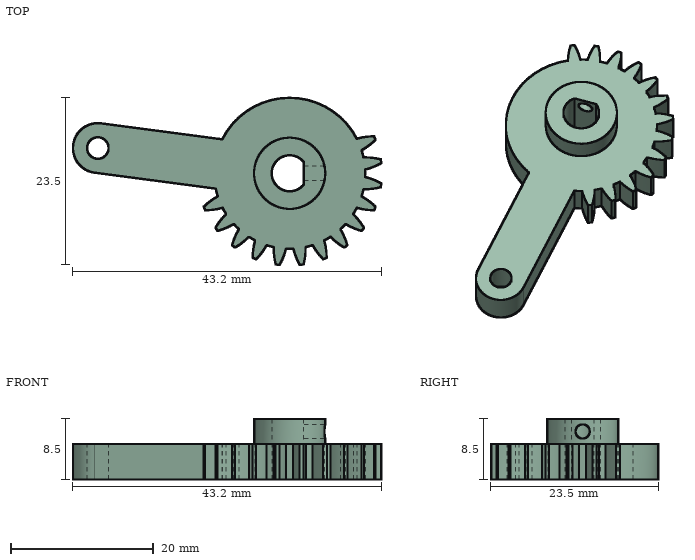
import cadquery as cq
import math

plate_thickness = 5.0
total_height = 8.5
hub_diameter = 10.0
hub_height = total_height - plate_thickness

full_tooth_count = 24
cut_tooth_count = 13
tooth_pitch = 360 / full_tooth_count
first_tooth_angle = 1.5 * tooth_pitch
root_radius = 10.6
flank_radius = 11.85
tip_radius = 12.95
root_width = 1.77
flank_width = 1.3
tip_width = 0.55
root_overlap = 0.45

arm_tilt = tooth_pitch / 2
arm_length = 27.1
arm_width = 7.0
arm_hole_diameter = 3.0

bore_diameter = 5.0
flat_offset = 1.95
screw_hole_diameter = 2.0
screw_height = plate_thickness + hub_height / 2


def radius_point(radius, width):
    """Point at a given radius on the upper flank of a tooth along +X."""
    half_width = width / 2
    return math.sqrt(radius**2 - half_width**2), half_width


def make_tooth():
    """One tooth along +X, with convex flanks and a narrow rounded tip."""
    root_x, root_y = radius_point(root_radius, root_width)
    flank_x, flank_y = radius_point(flank_radius, flank_width)
    tip_x, tip_y = radius_point(tip_radius, tip_width)
    inner_x = root_x - root_overlap
    return (
        cq.Workplane("XY")
        .moveTo(inner_x, -root_y)
        .lineTo(root_x, -root_y)
        .threePointArc((flank_x, -flank_y), (tip_x, -tip_y))
        .threePointArc((tip_radius, 0), (tip_x, tip_y))
        .threePointArc((flank_x, flank_y), (root_x, root_y))
        .lineTo(inner_x, root_y)
        .close()
        .extrude(plate_thickness)
    )


def make_gear():
    gear = cq.Workplane("XY").circle(root_radius).extrude(plate_thickness)
    tooth = make_tooth()
    for index in range(cut_tooth_count):
        angle = first_tooth_angle - index * tooth_pitch
        gear = gear.union(tooth.rotate((0, 0, 0), (0, 0, 1), angle))
    return gear


def make_arm():
    """Parallel-sided arm along -X with a round, drilled end, then tilted."""
    bar = (
        cq.Workplane("XY")
        .center(-arm_length / 2, 0)
        .rect(arm_length, arm_width)
        .extrude(plate_thickness)
    )
    end = cq.Workplane("XY").center(-arm_length, 0).circle(arm_width / 2).extrude(plate_thickness)
    hole = cq.Workplane("XY").center(-arm_length, 0).circle(arm_hole_diameter / 2).extrude(plate_thickness)
    return bar.union(end).cut(hole).rotate((0, 0, 0), (0, 0, 1), -arm_tilt)


def make_hub():
    return cq.Workplane("XY").circle(hub_diameter / 2).extrude(total_height)


def make_bore():
    """Round bore with a flat on its +X side."""
    flat_side = (
        cq.Workplane("XY")
        .center(flat_offset - bore_diameter / 2, 0)
        .rect(bore_diameter, bore_diameter)
        .extrude(total_height)
    )
    return cq.Workplane("XY").circle(bore_diameter / 2).extrude(total_height).intersect(flat_side)


def make_screw_hole():
    """Radial hole from the bore out through the +X side of the hub."""
    return (
        cq.Workplane("YZ")
        .center(0, screw_height)
        .circle(screw_hole_diameter / 2)
        .extrude(hub_diameter / 2)
    )


body = make_gear().union(make_arm()).union(make_hub())
result = body.cut(make_bore()).cut(make_screw_hole())